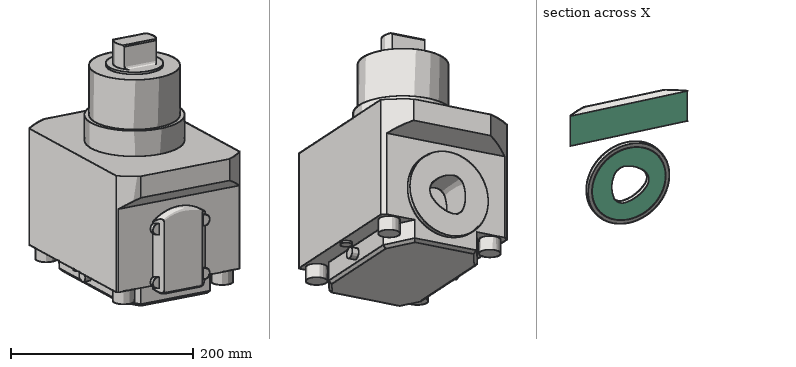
import cadquery as cq
import math


HOUSING_HALF_Y = 79.0
HOUSING_HEIGHT = 135.0
CORNER_RADIUS = 122.0
FLANGE_X_MIN = -112.0
FLANGE_X_MAX = 108.0
FLANGE_EDGE = 25.0
HOUSING_X_MIN = -97.2
HOUSING_X_MAX = 94.5

BOSS_DIAMETER = 110.0
BOSS_TOP = 29.5
NECK_DIAMETER = 100.0
NECK_TOP = 87.0
COLLAR_DIAMETER = 63.0
COLLAR_TOP = 89.5
SHAFT_DIAMETER = 48.0
SHAFT_TOP = 117.0
TANG_WIDTH = 25.0
TANG_ROOT_RADIUS = 4.0
TANG_CHAMFER = 1.5

BASE_X_MIN = HOUSING_X_MIN
BASE_X_MAX = 87.5
BASE_HALF_Y = 59.0
BASE_FLAT_X = 62.0
BASE_CORNER_ANGLE = 30.0
BASE_HEIGHT = 25.0
BASE_CHAMFER = 3.5
PLUG_DIAMETER = 13.0
PLUG_LENGTH = 8.0
PLUG_DROP = 11.0

BOLT_DIAMETER = 24.0
BOLT_HEIGHT = 16.0
BOLT_XS = (-83.0, 82.0)
BOLT_Y = 63.0
STUD_DIAMETER = 13.0
STUD_HEIGHT = 2.5
STUD_Y = 71.0

SIDE_AXIS_Z = -99.7
PORT_NECK_DIAMETER = 89.0
PORT_DIAMETER = 98.0
PORT_BACK_X = -99.3
PORT_FACE_X = -104.8
PORT_RING_DIAMETERS = (72.0, 63.0, 48.2)
SOCKET_LOBE = 24.0
SOCKET_FLAT = 20.5
LOBE_RADIUS = 13.5
LOBE_ANGLE = 120.0
SOCKET_DEPTH = 40.0
SOCKET_TAPER = 2.0

COVER_FACE_X = 103.8
COVER_DIAMETER = 102.4
COVER_EDGE_RADIUS = 5.0
COVER_BOTTOM_Z = -144.2
COVER_BOTTOM_CHAMFER = 2.0
COVER_HALF_Y = 33.6
SCREW_DIAMETER = 13.0
SCREW_FACE_X = 99.8
SCREW_Y = 29.8
SCREW_DZ = 31.0


def disc(diameter, bottom, top, x=0, y=0):
    """Vertical cylinder between two heights."""
    return cq.Workplane("XY", origin=(x, y, bottom)).circle(diameter / 2).extrude(top - bottom)


def disc_x(diameter, x_start, x_end, y=0, z=SIDE_AXIS_Z):
    """Cylinder along X between two X positions."""
    return cq.Workplane("YZ", origin=(x_start, y, z)).circle(diameter / 2).extrude(x_end - x_start)


def make_housing():
    """Block whose top flange narrows by 45 degree undercuts to the lower walls."""
    left_slope = HOUSING_X_MIN - FLANGE_X_MIN
    right_slope = FLANGE_X_MAX - HOUSING_X_MAX
    outline = [
        (FLANGE_X_MIN, 0),
        (FLANGE_X_MAX, 0),
        (FLANGE_X_MAX, -FLANGE_EDGE),
        (HOUSING_X_MAX, -FLANGE_EDGE - right_slope),
        (HOUSING_X_MAX, -HOUSING_HEIGHT),
        (HOUSING_X_MIN, -HOUSING_HEIGHT),
        (HOUSING_X_MIN, -FLANGE_EDGE - left_slope),
        (FLANGE_X_MIN, -FLANGE_EDGE),
    ]
    block = cq.Workplane("XZ").polyline(outline).close().extrude(HOUSING_HALF_Y, both=True)
    return block.intersect(disc(2 * CORNER_RADIUS, -HOUSING_HEIGHT, 0))


def make_shaft():
    """Round shaft end cut on both sides to a flat tang with rounded roots."""
    half = TANG_WIDTH / 2
    flat_bottom = COLLAR_TOP + TANG_ROOT_RADIUS
    root = half + TANG_ROOT_RADIUS
    outer = SHAFT_DIAMETER / 2
    fillet_offset = TANG_ROOT_RADIUS * (1 - math.sqrt(0.5))
    shaft = disc(SHAFT_DIAMETER, 0, SHAFT_TOP)
    tang = (
        cq.Workplane("XZ")
        .moveTo(-outer, 0)
        .lineTo(outer, 0)
        .lineTo(outer, COLLAR_TOP)
        .lineTo(root, COLLAR_TOP)
        .threePointArc((half + fillet_offset, COLLAR_TOP + fillet_offset), (half, flat_bottom))
        .lineTo(half, SHAFT_TOP - TANG_CHAMFER)
        .lineTo(half - TANG_CHAMFER, SHAFT_TOP)
        .lineTo(TANG_CHAMFER - half, SHAFT_TOP)
        .lineTo(-half, SHAFT_TOP - TANG_CHAMFER)
        .lineTo(-half, flat_bottom)
        .threePointArc((-half - fillet_offset, COLLAR_TOP + fillet_offset), (-root, COLLAR_TOP))
        .lineTo(-outer, COLLAR_TOP)
        .close()
        .extrude(outer, both=True)
    )
    return shaft.intersect(tang)


def make_neck():
    """Stepped round neck on top of the housing."""
    neck = disc(BOSS_DIAMETER, 0, BOSS_TOP)
    neck = neck.union(disc(NECK_DIAMETER, 0, NECK_TOP))
    return neck.union(disc(COLLAR_DIAMETER, 0, COLLAR_TOP))


def make_base():
    """Plate with slanted corners, a chamfered lower edge and a round plug on each long side."""
    slope = math.tan(math.radians(BASE_CORNER_ANGLE))
    left_y = BASE_HALF_Y - (-BASE_FLAT_X - BASE_X_MIN) * slope
    right_y = BASE_HALF_Y - (BASE_X_MAX - BASE_FLAT_X) * slope
    outline = [
        (BASE_X_MIN, left_y),
        (-BASE_FLAT_X, BASE_HALF_Y),
        (BASE_FLAT_X, BASE_HALF_Y),
        (BASE_X_MAX, right_y),
        (BASE_X_MAX, -right_y),
        (BASE_FLAT_X, -BASE_HALF_Y),
        (-BASE_FLAT_X, -BASE_HALF_Y),
        (BASE_X_MIN, -left_y),
    ]
    plate = cq.Workplane("XY", origin=(0, 0, -HOUSING_HEIGHT)).polyline(outline).close().extrude(-BASE_HEIGHT)
    plate = plate.faces("<Z").chamfer(BASE_CHAMFER)
    for side in (-1, 1):
        plug = (
            cq.Workplane("XZ", origin=(0, side * BASE_HALF_Y, -HOUSING_HEIGHT - PLUG_DROP))
            .circle(PLUG_DIAMETER / 2)
            .extrude(-side * PLUG_LENGTH)
        )
        plate = plate.union(plug)
    return plate


def make_fasteners():
    """Four bolt heads and two short studs under the housing."""
    bottom = -HOUSING_HEIGHT
    parts = []
    for side in (-1, 1):
        for x in BOLT_XS:
            parts.append(disc(BOLT_DIAMETER, bottom - BOLT_HEIGHT, bottom, x, side * BOLT_Y))
        parts.append(disc(STUD_DIAMETER, bottom - STUD_HEIGHT, bottom, 0, side * STUD_Y))
    return parts


def make_cover():
    """Round side cover with a flat bottom, 45 degree bevels along its sides and four screw heads."""
    cover = disc_x(COVER_DIAMETER, HOUSING_X_MAX, COVER_FACE_X)
    cover = cover.faces(">X").edges().fillet(COVER_EDGE_RADIUS)
    face_half_y = COVER_HALF_Y - (COVER_FACE_X - HOUSING_X_MAX)
    bevelled_sides = (
        cq.Workplane("XY", origin=(0, 0, SIDE_AXIS_Z))
        .polyline([
            (HOUSING_X_MAX, -COVER_HALF_Y),
            (COVER_FACE_X, -face_half_y),
            (COVER_FACE_X, face_half_y),
            (HOUSING_X_MAX, COVER_HALF_Y),
        ])
        .close()
        .extrude(COVER_DIAMETER, both=True)
    )
    flat_bottom = (
        cq.Workplane("XZ")
        .polyline([
            (HOUSING_X_MAX, COVER_BOTTOM_Z),
            (COVER_FACE_X - COVER_BOTTOM_CHAMFER, COVER_BOTTOM_Z),
            (COVER_FACE_X, COVER_BOTTOM_Z + COVER_BOTTOM_CHAMFER),
            (COVER_FACE_X, 0),
            (HOUSING_X_MAX, 0),
        ])
        .close()
        .extrude(COVER_HALF_Y, both=True)
    )
    cover = cover.intersect(bevelled_sides).intersect(flat_bottom)
    for y in (-SCREW_Y, SCREW_Y):
        for dz in (-SCREW_DZ, SCREW_DZ):
            cover = cover.union(disc_x(SCREW_DIAMETER, HOUSING_X_MAX, SCREW_FACE_X, y, SIDE_AXIS_Z + dz))
    return cover


def polar(radius, angle):
    """Point at a radius and an angle in degrees."""
    return (radius * math.cos(math.radians(angle)), radius * math.sin(math.radians(angle)))


def make_socket():
    """Tapered socket whose outline joins three lobe arcs and three flatter arcs, all tangent."""
    lobe_centre = SOCKET_LOBE - LOBE_RADIUS
    gap = SOCKET_FLAT - LOBE_RADIUS
    half_pitch = LOBE_ANGLE / 2
    flat_centre = (lobe_centre**2 - gap**2) / (2 * gap - lobe_centre)
    half_lobe = math.degrees(math.atan2(
        flat_centre * math.sin(math.radians(half_pitch)),
        lobe_centre + flat_centre * math.cos(math.radians(half_pitch)),
    ))
    joint_x, joint_y = polar(LOBE_RADIUS, half_lobe)
    joint_radius = math.hypot(lobe_centre + joint_x, joint_y)
    joint_angle = math.degrees(math.atan2(joint_y, lobe_centre + joint_x))
    outline = cq.Workplane("YZ", origin=(PORT_FACE_X, 0, SIDE_AXIS_Z))
    outline = outline.moveTo(*polar(joint_radius, -joint_angle))
    for angle in (0, LOBE_ANGLE, 2 * LOBE_ANGLE):
        outline = outline.threePointArc(polar(SOCKET_LOBE, angle), polar(joint_radius, angle + joint_angle))
        outline = outline.threePointArc(
            polar(SOCKET_FLAT, angle + half_pitch), polar(joint_radius, angle + LOBE_ANGLE - joint_angle)
        )
    return outline.close().extrude(SOCKET_DEPTH, taper=SOCKET_TAPER)


def add_port(body):
    """Port disc of nested flush rings, keeping the seams between them, then the socket."""
    body = body.union(disc_x(PORT_NECK_DIAMETER, PORT_BACK_X, HOUSING_X_MIN))
    body = body.union(disc_x(PORT_DIAMETER, PORT_FACE_X, PORT_BACK_X))
    for diameter in PORT_RING_DIAMETERS:
        body = body.union(disc_x(diameter, PORT_FACE_X, PORT_BACK_X), clean=False)
    return body.cut(make_socket(), clean=False)


body = make_housing().union(make_neck()).union(make_base()).union(make_cover())
for fastener in make_fasteners():
    body = body.union(fastener)
body = add_port(body)
result = body.union(make_shaft(), clean=False)